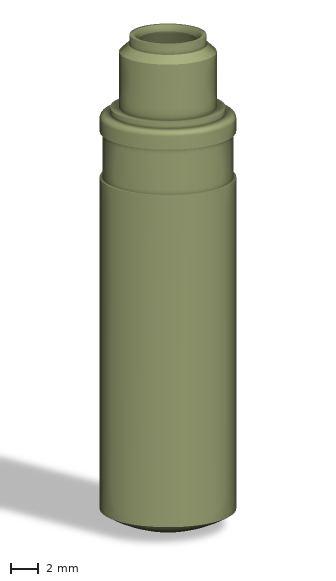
import cadquery as cq
import math

length = 36.7

body_diameter = 9.8
relief_diameter = 9.4
collar_step_diameter = 8.3
nozzle_diameter = 7.0
lip_base_diameter = 5.8
lip_diameter = 5.5

nose_height = 1.32
relief_bottom = 26.05
collar_bottom = 29.47
collar_top = 30.83
nozzle_bottom = 31.27
nozzle_chamfer_bottom = 35.4
lip_bottom = 35.95

collar_round = 0.35

mouth_diameter = 5.0
bore_top_diameter = 4.2
bore_bottom_diameter = 2.95
mouth_depth = (mouth_diameter - bore_top_diameter) / 2

nose_sphere_radius = 9.18


def cross_section():
    """Half section through the axis: radius along X, height along Y."""
    body_radius = body_diameter / 2
    relief_radius = relief_diameter / 2
    collar_step_radius = collar_step_diameter / 2
    nozzle_radius = nozzle_diameter / 2
    outlet_radius = bore_bottom_diameter / 2

    sphere_centre_height = nose_height + math.sqrt(nose_sphere_radius**2 - body_radius**2)
    arc_middle_radius = (body_radius + outlet_radius) / 2
    arc_middle_height = sphere_centre_height - math.sqrt(nose_sphere_radius**2 - arc_middle_radius**2)

    round_inset = collar_round * (1 - math.sqrt(0.5))

    return (
        cq.Workplane("XZ")
        .moveTo(outlet_radius, 0)
        .threePointArc((arc_middle_radius, arc_middle_height), (body_radius, nose_height))
        .lineTo(body_radius, relief_bottom)
        .lineTo(relief_radius, relief_bottom)
        .lineTo(relief_radius, collar_bottom)
        .lineTo(body_radius, collar_bottom)
        .lineTo(body_radius, collar_top - collar_round)
        .threePointArc(
            (body_radius - round_inset, collar_top - round_inset),
            (body_radius - collar_round, collar_top),
        )
        .lineTo(collar_step_radius, collar_top)
        .lineTo(collar_step_radius, nozzle_bottom)
        .lineTo(nozzle_radius, nozzle_bottom)
        .lineTo(nozzle_radius, nozzle_chamfer_bottom)
        .lineTo(lip_base_diameter / 2, lip_bottom)
        .lineTo(lip_diameter / 2, lip_bottom)
        .lineTo(lip_diameter / 2, length)
        .lineTo(mouth_diameter / 2, length)
        .lineTo(bore_top_diameter / 2, length - mouth_depth)
        .close()
    )


result = cross_section().revolve(360, (0, 0, 0), (0, 1, 0))